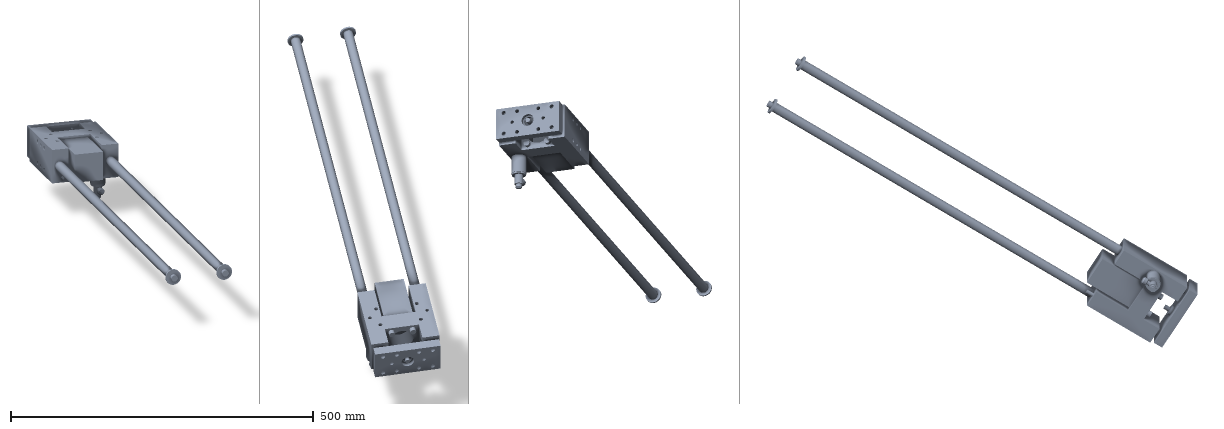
import cadquery as cq

TOTAL_LENGTH = 776.0

BLOCK_START = 22.0
BLOCK_LENGTH = 123.0
BLOCK_WIDTH = 115.0
BLOCK_HEIGHT = 58.0
WEB_START = 53.0
WEB_THICKNESS = 30.0
SLOT_WIDTH = 57.5
BLOCK_END = BLOCK_START + BLOCK_LENGTH
WEB_END = WEB_START + WEB_THICKNESS

PATTERN_X = 83.0
HOLE_OFFSET = 19.0
TAPPED_DIAMETER = 6.6
TAPPED_DEPTH = 12.0
TAP_CORE_DIAMETER = 4.0
TAP_CORE_DEPTH = 15.5
DOWEL_DIAMETER = 6.0
DOWEL_DEPTH = 8.0
TOP_DOWEL_OFFSET = 48.0
TOP_TAPPED_OFFSET = 34.0

WEB_BORE_DIAMETER = 39.0
SCREW_DIAMETER = 10.0
SCREW_LENGTH = 7.0
SCREW_OFFSET_Y = 18.0
SCREW_OFFSET_Z = 20.0

DRIVE_SIZE = 49.0
DRIVE_END = 166.0

STOP_DIAMETER = 6.0
STOP_LENGTH = 12.5
STOP_OFFSET = 39.0
STOP_DROP = 21.0

CONNECTOR_X = 79.0
CONNECTOR_Y = 43.0
CONNECTOR_STEPS = [
    (25.0, 30.0),
    (23.0, 2.0),
    (14.0, 14.0),
    (15.0, 2.0),
    (10.0, 4.0),
    (11.0, 1.5),
    (8.0, 1.5),
]
SIDE_NECK_DIAMETER = 7.0
SIDE_CAP_DIAMETER = 12.0
SIDE_CAP_CHAMFER = 1.5
SIDE_NECK_END = 91.0
SIDE_CAP_END = 99.0
SIDE_DROP = 39.0

PLATE_THICKNESS = 15.5
PLATE_WIDTH = 110.0
PLATE_HEIGHT = 53.5
PLATE_OUTER_OFFSET = 42.0
PLATE_OUTER_DIAMETER = 7.0
PLATE_INNER_OFFSET = 19.0
PLATE_DOWEL_OFFSET = 27.0

RECESS_DIAMETER = 21.0
RECESS_DEPTH = 6.0
GROOVE_DIAMETER = 15.5
GROOVE_DEPTH = 10.0
COUPLING_FLANGE_DIAMETER = 17.0
COUPLING_FLANGE_THICKNESS = 5.0
COUPLING_PIN_DIAMETER = 8.0
COUPLING_PIN_END = 29.5

ROD_DIAMETER = 16.0
ROD_OFFSET = 44.0
DISC_DIAMETER = 26.0
DISC_THICKNESS = 3.0
DISC_START = 766.0
TAIL_DIAMETER = 11.0


def box(x_start, x_end, width, height):
    """A block centred on the X axis."""
    size = x_end - x_start
    return cq.Workplane("XY").box(size, width, height).translate((x_start + size / 2, 0, 0))


def cylinder(start, direction, diameter, length):
    """A round bar from the start point along the direction."""
    return cq.Workplane(
        cq.Solid.makeCylinder(diameter / 2, length, cq.Vector(*start), cq.Vector(*direction))
    )


def rod_bar(x_start, x_end, diameter, y=0.0, z=0.0):
    """A round bar parallel to the X axis."""
    return cylinder((x_start, y, z), (1, 0, 0), diameter, x_end - x_start)


def tapped_hole(start, direction):
    """A threaded hole: a wide threaded part and a narrower core drilled deeper."""
    thread = cylinder(start, direction, TAPPED_DIAMETER, TAPPED_DEPTH)
    return thread.union(cylinder(start, direction, TAP_CORE_DIAMETER, TAP_CORE_DEPTH))


def cut_block_holes(block):
    """Drill the mounting holes of the -Y side and of the top."""
    inward = (0, 1, 0)
    for z in (-HOLE_OFFSET, HOLE_OFFSET):
        middle = (PATTERN_X, -BLOCK_WIDTH / 2, z)
        block = block.cut(cylinder(middle, inward, DOWEL_DIAMETER, DOWEL_DEPTH))
        for shift in (-HOLE_OFFSET, HOLE_OFFSET):
            block = block.cut(tapped_hole((PATTERN_X + shift, -BLOCK_WIDTH / 2, z), inward))

    down = (0, 0, -1)
    for side in (-1, 1):
        middle = (PATTERN_X, side * TOP_DOWEL_OFFSET, BLOCK_HEIGHT / 2)
        block = block.cut(cylinder(middle, down, DOWEL_DIAMETER, DOWEL_DEPTH))
        for shift in (-HOLE_OFFSET, HOLE_OFFSET):
            start = (PATTERN_X + shift, side * TOP_TAPPED_OFFSET, BLOCK_HEIGHT / 2)
            block = block.cut(tapped_hole(start, down))
    return block


def make_connector():
    """The stepped round connector with a small capped outlet on its side."""
    z = -BLOCK_HEIGHT / 2
    connector = cq.Workplane("XY")
    for diameter, length in CONNECTOR_STEPS:
        step = cylinder((CONNECTOR_X, CONNECTOR_Y, z), (0, 0, -1), diameter, length)
        connector = connector.union(step)
        z -= length
    side_z = -BLOCK_HEIGHT / 2 - SIDE_DROP
    neck = rod_bar(CONNECTOR_X, SIDE_NECK_END, SIDE_NECK_DIAMETER, CONNECTOR_Y, side_z)
    cap = rod_bar(SIDE_NECK_END, SIDE_CAP_END, SIDE_CAP_DIAMETER, CONNECTOR_Y, side_z)
    cap = cap.edges("%CIRCLE").chamfer(SIDE_CAP_CHAMFER)
    return connector.union(neck).union(cap)


def make_housing():
    """The H-shaped block with the drive box, screws, stop pin and connector."""
    block = box(BLOCK_START, BLOCK_END, BLOCK_WIDTH, BLOCK_HEIGHT)
    block = block.cut(box(BLOCK_START, WEB_START, SLOT_WIDTH, BLOCK_HEIGHT))
    block = block.cut(box(WEB_END, BLOCK_END, SLOT_WIDTH, BLOCK_HEIGHT))
    block = block.cut(rod_bar(WEB_START, WEB_END, WEB_BORE_DIAMETER))
    block = cut_block_holes(block)
    for y in (-ROD_OFFSET, ROD_OFFSET):
        block = block.cut(rod_bar(BLOCK_START, BLOCK_END, ROD_DIAMETER, y))

    block = block.union(box(WEB_END, DRIVE_END, DRIVE_SIZE, DRIVE_SIZE))
    for y in (-SCREW_OFFSET_Y, SCREW_OFFSET_Y):
        for z in (-SCREW_OFFSET_Z, SCREW_OFFSET_Z):
            block = block.union(rod_bar(WEB_START - SCREW_LENGTH, WEB_START, SCREW_DIAMETER, y, z))
    stop = rod_bar(BLOCK_END, BLOCK_END + STOP_LENGTH, STOP_DIAMETER, -STOP_OFFSET, -STOP_DROP)
    return block.union(stop).union(make_connector())


def make_plate():
    """The front plate with its holes and the coupling pin."""
    plate = box(0, PLATE_THICKNESS, PLATE_WIDTH, PLATE_HEIGHT)
    for side in (-1, 1):
        plate = plate.cut(rod_bar(0, DOWEL_DEPTH, DOWEL_DIAMETER, side * PLATE_DOWEL_OFFSET))
        for z in (-HOLE_OFFSET, HOLE_OFFSET):
            outer_y = side * PLATE_OUTER_OFFSET
            plate = plate.cut(rod_bar(0, DOWEL_DEPTH, PLATE_OUTER_DIAMETER, outer_y, z))
            plate = plate.cut(tapped_hole((0, side * PLATE_INNER_OFFSET, z), (1, 0, 0)))

    plate = plate.cut(rod_bar(0, RECESS_DEPTH, RECESS_DIAMETER))
    flange_end = PLATE_THICKNESS + COUPLING_FLANGE_THICKNESS
    plate = plate.cut(rod_bar(0, GROOVE_DEPTH, GROOVE_DIAMETER))
    plate = plate.union(rod_bar(PLATE_THICKNESS, flange_end, COUPLING_FLANGE_DIAMETER))
    return plate.union(rod_bar(0, COUPLING_PIN_END, COUPLING_PIN_DIAMETER))


def make_guide_rod(y):
    """One guide rod with its end disc and tail."""
    disc_end = DISC_START + DISC_THICKNESS
    rod = rod_bar(PLATE_THICKNESS, DISC_START, ROD_DIAMETER, y)
    rod = rod.union(rod_bar(DISC_START, disc_end, DISC_DIAMETER, y))
    return rod.union(rod_bar(disc_end, TOTAL_LENGTH, TAIL_DIAMETER, y))


def make_slide():
    """The moving body: the front plate carrying both guide rods."""
    slide = make_plate()
    for y in (-ROD_OFFSET, ROD_OFFSET):
        slide = slide.union(make_guide_rod(y))
    return slide


housing = make_housing()
slide = make_slide()
result = cq.Compound.makeCompound([housing.val(), slide.val()])